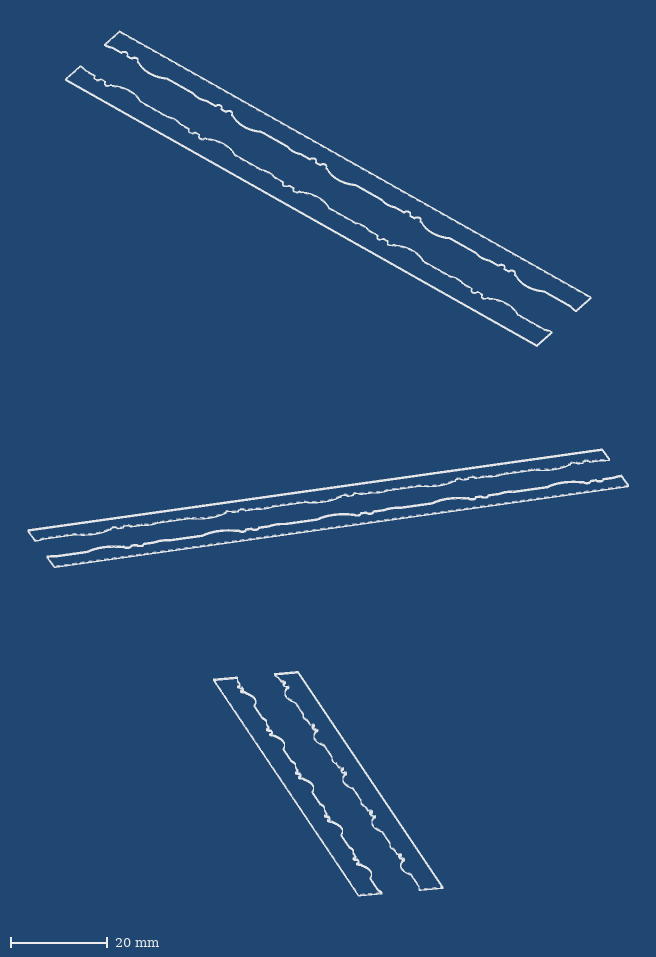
import cadquery as cq

strip_length = 125.0
overall_width = 18.0
thickness = 0.3
strip_width = 4.6
outer_y = overall_width / 2
edge_y = outer_y - strip_width

pitch = 25.0
pattern_count = round(strip_length / pitch)

wide_bump_half_width = 3.8
wide_bump_height = 1.06

low_bump_half_width = 1.8
low_bump_height = 0.4

notch_radius = 0.8
notch_pair_center = pitch / 4
notch_spacing = 2.8


def bump(center_x, half_width, height):
    """Arc-shaped bump standing out of the straight edge towards the other strip."""
    return (
        cq.Workplane("XY")
        .moveTo(center_x - half_width, edge_y)
        .threePointArc((center_x, edge_y - height), (center_x + half_width, edge_y))
        .close()
        .extrude(thickness)
    )


def notch(center_x):
    """Round cutter centred on the straight edge, right through the strip."""
    return cq.Workplane("XY").center(center_x, edge_y).circle(notch_radius).extrude(thickness)


def upper_strip():
    """Strip on the +Y side, with its wavy edge facing -Y."""
    bar = cq.Workplane("XY").box(strip_length, strip_width, thickness, centered=False)
    strip = bar.translate((0, edge_y, 0))

    for index in range(pattern_count):
        start_x = index * pitch
        strip = strip.union(bump(start_x + pitch / 2, wide_bump_half_width, wide_bump_height))
        for side in (-1, 1):
            strip = strip.cut(notch(start_x + notch_pair_center + side * notch_spacing / 2))

    for index in range(pattern_count + 1):
        strip = strip.union(bump(index * pitch, low_bump_half_width, low_bump_height))

    envelope = cq.Workplane("XY").box(strip_length, outer_y, thickness, centered=False)
    return strip.intersect(envelope)


positive_y_strip = upper_strip()
negative_y_strip = positive_y_strip.mirror("XZ")

result = cq.Compound.makeCompound([positive_y_strip.val(), negative_y_strip.val()])